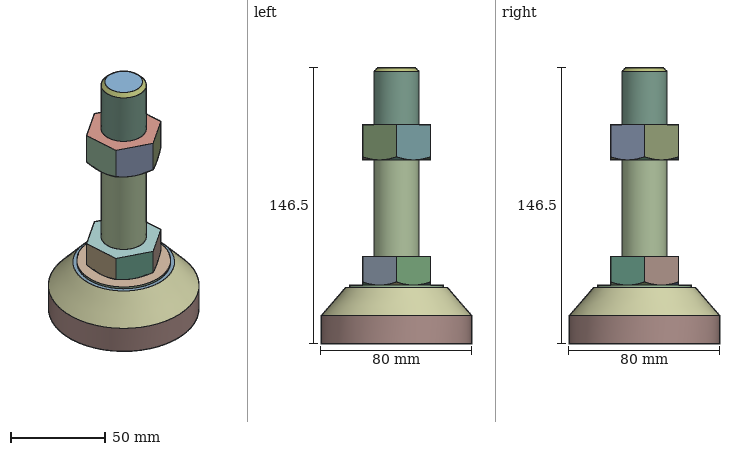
import cadquery as cq
import math

total_height = 146.5
pad_radius = 40.0
pad_rim_height = 15.0
pad_top_radius = 27.0
pad_top_z = 30.0
collar_radius = 24.9
collar_height = 1.2
collar_top_z = pad_top_z + collar_height

stud_radius = 12.0
stud_chamfer = 2.0

hex_across_flats = 36.0
hex_across_corners = hex_across_flats / math.cos(math.pi / 6)
hex_chamfer_angle = math.radians(30)
hex_base_radius = 18.0
lower_hex_height = 15.2
upper_hex_bottom_z = 97.5
upper_hex_height = 18.8


def make_foot():
    """Round foot: straight rim, conical shoulder and a thin raised collar."""
    rim = cq.Workplane("XY").circle(pad_radius).extrude(pad_rim_height)
    shoulder = cq.Workplane("XZ").polyline([
        (0, pad_rim_height),
        (pad_radius, pad_rim_height),
        (pad_top_radius, pad_top_z),
        (0, pad_top_z),
    ]).close().revolve(360, (0, 0, 0), (0, 1, 0))
    collar = cq.Workplane("XY", origin=(0, 0, pad_top_z)).circle(collar_radius).extrude(collar_height)
    return rim.union(shoulder).union(collar)


def make_hex(bottom_z, height):
    """Hexagon with corners on the X axis, its lower corners trimmed by a cone."""
    prism = cq.Workplane("XY", origin=(0, 0, bottom_z)).polygon(6, hex_across_corners).extrude(height)
    corner_radius = hex_across_corners / 2
    chamfer_height = (corner_radius - hex_base_radius) * math.tan(hex_chamfer_angle)
    top_z = bottom_z + height
    envelope = cq.Workplane("XZ").polyline([
        (0, bottom_z),
        (hex_base_radius, bottom_z),
        (corner_radius, bottom_z + chamfer_height),
        (corner_radius, top_z),
        (0, top_z),
    ]).close().revolve(360, (0, 0, 0), (0, 1, 0))
    return prism.intersect(envelope)


def make_stud():
    """Chamfered stud standing on the foot collar, carrying both hexagons."""
    shank = (
        cq.Workplane("XY", origin=(0, 0, collar_top_z))
        .circle(stud_radius)
        .extrude(total_height - collar_top_z)
        .faces(">Z")
        .chamfer(stud_chamfer)
    )
    lower_hex = make_hex(collar_top_z, lower_hex_height)
    upper_hex = make_hex(upper_hex_bottom_z, upper_hex_height)
    return shank.union(lower_hex).union(upper_hex)


foot = make_foot()
stud = make_stud()

result = cq.Compound.makeCompound([foot.val(), stud.val()])